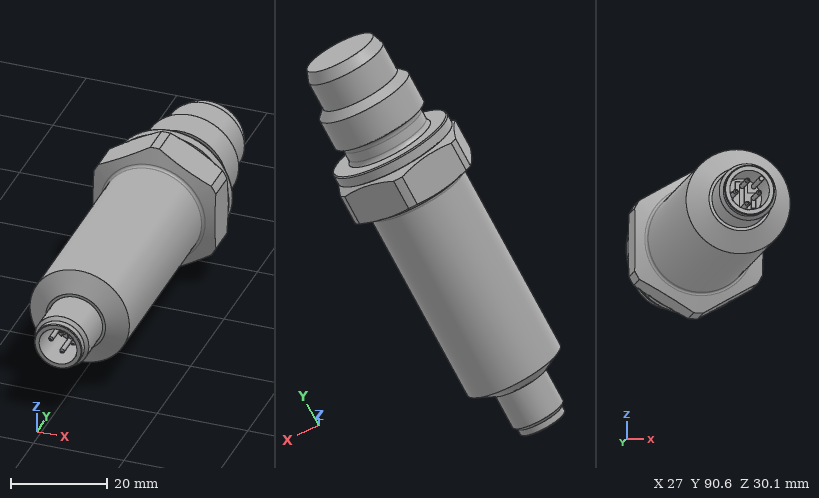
import cadquery as cq
import math

length = 90.6

lip_dia = 10.5
plug_dia = 12.0
lip_length = 1.5
lip_chamfer = 0.2
plug_chamfer = (plug_dia - lip_dia) / 2
plug_length = 10.5
shoulder_dia = 13.2
body_dia = 22.0
body_start = 13.0

hex_flats = 27.0
hex_corners = 30.1
hex_front_angle = 20.0
hex_back_angle = 26.0
hex_front_corner = 58.0
hex_back_corner = 64.7
hex_front_dia = 23.2
body_fillet = (hex_front_dia - body_dia) / 2
neck_dia = 25.2
collar_dia = 26.9
collar_front = 66.05
collar_back = 68.4
collar_chamfer = 0.3

groove_dia = 18.3
thread_dia = 21.0
thread_front = 73.0
thread_back = 79.8
groove_front = 69.5
groove_back = 71.7
groove_fillet = 1.6
nose_dia = 17.5
nose_start = 81.6
nose_end_dia = 15.6
nose_chamfer_length = 2.5

bore_dia = 8.3
bore_depth = 9.1
pin_dia = 1.0
pin_tip_dia = 0.4
pin_circle_radius = 2.45
pin_tip_depth = 2.1
key_dia = 1.0
key_radius = 3.7
key_top_depth = 0.5

relief_depth = 0.45
stem_half_width = 1.3
stem_top = 3.4
arm_top = 1.2
arm_bottom = -2.3
arm_tip = (2.6, -3.1)
side_rib_length = 2.1
dimple_dia = 0.4
dimple_radius = 3.7


def cone_length(large_dia, small_dia, angle):
    """Axial length of a hexagon end cone between two diameters, its angle measured from the end plane."""
    return (large_dia - small_dia) / 2 * math.tan(math.radians(angle))


def turned(outline):
    """Solid of revolution about Y from a closed outline in (radius, y)."""
    return outline.close().revolve(360, (0, 0, 0), (0, 1, 0))


def along_y(start_y):
    """Workplane at start_y with local axes X and Z; negative extrusions run toward +Y."""
    return cq.Workplane("XZ", origin=(0, start_y, 0))


def round_profile():
    """Plug and body, running into the hexagon."""
    face_y = hex_front_corner - cone_length(hex_corners, hex_front_dia, hex_front_angle)
    fillet_mid = body_fillet * (1 - math.sqrt(0.5))
    outline = (
        cq.Workplane("XY")
        .moveTo(0, 0)
        .lineTo(lip_dia / 2 - lip_chamfer, 0)
        .lineTo(lip_dia / 2, lip_chamfer)
        .lineTo(lip_dia / 2, lip_length)
        .lineTo(plug_dia / 2, lip_length + plug_chamfer)
        .lineTo(plug_dia / 2, plug_length)
        .lineTo(shoulder_dia / 2, plug_length)
        .lineTo(body_dia / 2, body_start)
        .lineTo(body_dia / 2, face_y - body_fillet)
        .threePointArc(
            (body_dia / 2 + fillet_mid, face_y - fillet_mid),
            (hex_front_dia / 2, face_y),
        )
        .lineTo(hex_front_dia / 2, hex_front_corner)
        .lineTo(0, hex_front_corner)
    )
    return turned(outline)


def hexagon():
    """Hexagon with flats facing +X and -X, its corners and ends turned down."""
    front_y = hex_front_corner - cone_length(hex_corners, hex_front_dia, hex_front_angle)
    neck_y = hex_back_corner + cone_length(hex_corners, neck_dia, hex_back_angle)
    outline = (
        cq.Workplane("XY")
        .moveTo(0, front_y)
        .lineTo(hex_front_dia / 2, front_y)
        .lineTo(hex_corners / 2, hex_front_corner)
        .lineTo(hex_corners / 2, hex_back_corner)
        .lineTo(neck_dia / 2, neck_y)
        .lineTo(neck_dia / 2, collar_front)
        .lineTo(0, collar_front)
    )
    prism = (
        along_y(front_y)
        .transformed(rotate=(0, 0, 30))
        .polygon(6, hex_flats / math.cos(math.radians(30)))
        .extrude(front_y - collar_front)
    )
    return turned(outline).intersect(prism)


def pressure_port():
    """Collar, relief groove, plain thread and tapered nose."""
    groove_r = groove_dia / 2

    def fillet_point(groove_edge, y):
        """Point at y on the fillet that leaves the groove tangentially at groove_edge."""
        rise = groove_fillet - math.sqrt(groove_fillet**2 - (groove_edge - y) ** 2)
        return (groove_r + rise, y)

    outline = (
        cq.Workplane("XY")
        .moveTo(0, collar_front)
        .lineTo(collar_dia / 2, collar_front)
        .lineTo(collar_dia / 2, collar_back - collar_chamfer)
        .lineTo(collar_dia / 2 - collar_chamfer, collar_back)
        .lineTo(*fillet_point(groove_front, collar_back))
        .threePointArc(
            fillet_point(groove_front, (collar_back + groove_front) / 2),
            (groove_r, groove_front),
        )
        .lineTo(groove_r, groove_back)
        .threePointArc(
            fillet_point(groove_back, (thread_front + groove_back) / 2),
            fillet_point(groove_back, thread_front),
        )
        .lineTo(thread_dia / 2, thread_front)
        .lineTo(thread_dia / 2, thread_back)
        .lineTo(nose_dia / 2, nose_start)
        .lineTo(nose_dia / 2, length - nose_chamfer_length)
        .lineTo(nose_end_dia / 2, length)
        .lineTo(0, length)
    )
    return turned(outline)


def socket_cavity():
    """Bore of the socket, with pockets in its floor that leave a T-shaped island and a small dimple."""
    bore = along_y(0).circle(bore_dia / 2).extrude(-bore_depth)
    pockets = cq.Workplane("XY")
    for side in (1, -1):
        upper = [
            (side * stem_half_width, arm_top),
            (side * bore_dia, arm_top),
            (side * bore_dia, bore_dia),
            (0, bore_dia),
            (0, stem_top),
            (side * stem_half_width, stem_top),
        ]
        lower = [
            (side * stem_half_width, arm_bottom),
            (side * arm_tip[0], arm_tip[1]),
            (side * stem_half_width, -bore_dia),
        ]
        for corners in (upper, lower):
            pocket = along_y(bore_depth).polyline(corners).close().extrude(-relief_depth)
            pockets = pockets.add(pocket)
    deep_bore = along_y(bore_depth).circle(bore_dia / 2).extrude(-relief_depth)
    dimple = (
        along_y(bore_depth)
        .center(0, -dimple_radius)
        .circle(dimple_dia / 2)
        .extrude(-relief_depth)
    )
    return bore.union(pockets.combine().intersect(deep_bore)).union(dimple)


def contact_pins():
    """Four round pins standing on the socket floor, with chamfered tips."""
    tip_chamfer = (pin_dia - pin_tip_dia) / 2
    return (
        along_y(bore_depth + relief_depth)
        .polarArray(pin_circle_radius, 0, 360, 4)
        .circle(pin_dia / 2)
        .extrude(bore_depth + relief_depth - pin_tip_depth)
        .faces("<Y")
        .chamfer(tip_chamfer)
    )


def floor_ribs():
    """Low ribs on the floor: one joining the two middle pins, one below each side pin."""
    middle_rib = along_y(bore_depth).rect(pin_dia, 2 * pin_circle_radius).extrude(relief_depth)
    side_ribs = (
        along_y(bore_depth)
        .pushPoints([(x, -side_rib_length / 2) for x in (-pin_circle_radius, pin_circle_radius)])
        .rect(pin_dia, side_rib_length)
        .extrude(relief_depth)
    )
    return middle_rib.union(side_ribs)


def coding_key():
    """Rounded key on the bore wall, midway between the upper and the right-hand pin."""
    offset = key_radius * math.sqrt(0.5)
    return (
        along_y(key_top_depth)
        .center(offset, offset)
        .circle(key_dia / 2)
        .extrude(key_top_depth - bore_depth - relief_depth)
    )


result = (
    round_profile()
    .union(hexagon())
    .union(pressure_port())
    .cut(socket_cavity())
    .union(contact_pins())
    .union(floor_ribs())
    .union(coding_key())
)